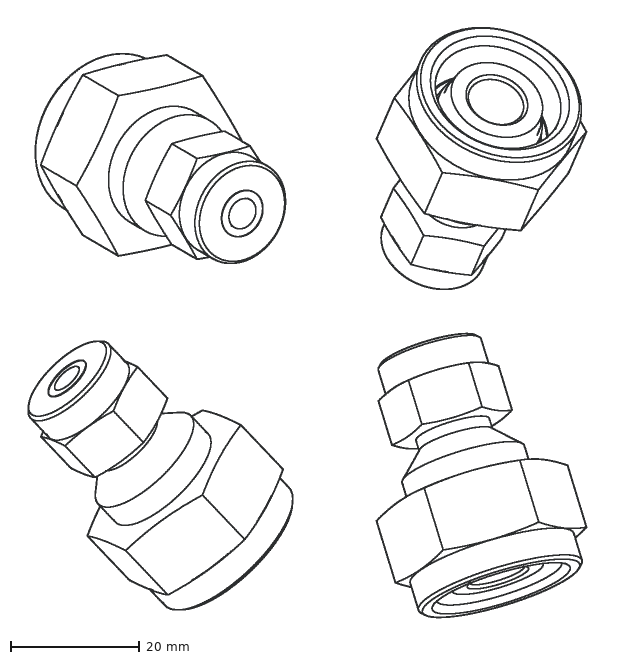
import cadquery as cq
import math

HEX_CHAMFER_ANGLE = 15.0
EDGE_CHAMFER = 0.5

LARGE_FLATS = 27.0
LARGE_COLLAR_RADIUS = 13.38
LARGE_HEX_START = 5.0
LARGE_HEX_END = 16.48
MOUTH_RADIUS = 11.27
THREAD_RADIUS = 10.2

SMALL_FLATS = 17.0
SMALL_COLLAR_RADIUS = 8.4
SMALL_HEX_START = 26.5
SMALL_HEX_END = 34.58
SMALL_NUT_END = 39.6

BODY_END = 39.7
FLANGE_RADIUS = 10.0
TAPER_START = 20.72
NECK_RADIUS = 6.0
SPIGOT_RADIUS = 3.8

SLEEVE_FACE = 1.8
SLEEVE_FACE_RADIUS = 7.42
SLEEVE_RADIUS = 7.98
STEP_FACE = 5.95
STEP_FACE_RADIUS = 8.55
STEP_RADIUS = 9.1
LEAD_IN_ANGLE = 11.5
SLEEVE_FILLET = 0.35
LEAD_IN_SLOPE = math.tan(math.radians(LEAD_IN_ANGLE))
SLEEVE_LEAD_IN_END = SLEEVE_FACE + (SLEEVE_RADIUS - SLEEVE_FACE_RADIUS) / LEAD_IN_SLOPE
FLANGE_FACE = STEP_FACE + (STEP_RADIUS - STEP_FACE_RADIUS) / LEAD_IN_SLOPE

SOCKET_RADIUS = 4.5
SOCKET_END = 15.88
DRILL_POINT_ANGLE = 118.0
THROUGH_RADIUS = 2.5


def revolve_about_x(profile):
    """Turn a closed (x, radius) profile about the X axis."""
    return profile.close().revolve(360, (0, 0, 0), (1, 0, 0))


def turned(points):
    """Solid of revolution about the X axis from (x, radius) points."""
    return revolve_about_x(cq.Workplane("XY").polyline(points))


def hexagon(start, end, flats):
    """Hexagonal prism along X, flats at +Z and -Z, corners bevelled at both ends."""
    corner_radius = flats / math.sqrt(3)
    bevel_depth = (corner_radius - flats / 2) * math.tan(math.radians(HEX_CHAMFER_ANGLE))
    prism = cq.Workplane("YZ", origin=(start, 0, 0)).polygon(6, 2 * corner_radius).extrude(end - start)
    bevel = turned([
        (start, 0),
        (start, flats / 2),
        (start + bevel_depth, corner_radius),
        (end - bevel_depth, corner_radius),
        (end, flats / 2),
        (end, 0),
    ])
    return prism.intersect(bevel)


def make_large_nut():
    collar = turned([
        (0, 0),
        (0, LARGE_COLLAR_RADIUS - EDGE_CHAMFER),
        (EDGE_CHAMFER, LARGE_COLLAR_RADIUS),
        (LARGE_HEX_START, LARGE_COLLAR_RADIUS),
        (LARGE_HEX_START, 0),
    ])
    countersink_depth = MOUTH_RADIUS - THREAD_RADIUS
    bore = turned([
        (0, 0),
        (0, MOUTH_RADIUS),
        (countersink_depth, THREAD_RADIUS),
        (FLANGE_FACE, THREAD_RADIUS),
        (FLANGE_FACE, FLANGE_RADIUS),
        (LARGE_HEX_END, FLANGE_RADIUS),
        (LARGE_HEX_END, 0),
    ])
    return hexagon(LARGE_HEX_START, LARGE_HEX_END, LARGE_FLATS).union(collar).cut(bore)


def make_small_nut():
    collar = turned([
        (SMALL_HEX_END, 0),
        (SMALL_HEX_END, SMALL_COLLAR_RADIUS),
        (SMALL_NUT_END - EDGE_CHAMFER, SMALL_COLLAR_RADIUS),
        (SMALL_NUT_END, SMALL_COLLAR_RADIUS - EDGE_CHAMFER),
        (SMALL_NUT_END, 0),
    ])
    bore = turned([
        (SMALL_HEX_START, 0),
        (SMALL_HEX_START, SPIGOT_RADIUS),
        (SMALL_NUT_END, SPIGOT_RADIUS),
        (SMALL_NUT_END, 0),
    ])
    return hexagon(SMALL_HEX_START, SMALL_HEX_END, SMALL_FLATS).union(collar).cut(bore)


def body_outside():
    """Sleeve, flange, 45 degree taper, neck and spigot as one turned shape."""
    fillet_middle = SLEEVE_FILLET * (1 - math.sqrt(0.5))
    taper_end = TAPER_START + FLANGE_RADIUS - NECK_RADIUS
    profile = (
        cq.Workplane("XY")
        .moveTo(SLEEVE_FACE, 0)
        .lineTo(SLEEVE_FACE, SLEEVE_FACE_RADIUS)
        .lineTo(SLEEVE_LEAD_IN_END, SLEEVE_RADIUS)
        .lineTo(STEP_FACE - SLEEVE_FILLET, SLEEVE_RADIUS)
        .threePointArc(
            (STEP_FACE - fillet_middle, SLEEVE_RADIUS + fillet_middle),
            (STEP_FACE, SLEEVE_RADIUS + SLEEVE_FILLET),
        )
        .lineTo(STEP_FACE, STEP_FACE_RADIUS)
        .lineTo(FLANGE_FACE, STEP_RADIUS)
        .lineTo(FLANGE_FACE, FLANGE_RADIUS)
        .lineTo(TAPER_START, FLANGE_RADIUS)
        .lineTo(taper_end, NECK_RADIUS)
        .lineTo(SMALL_HEX_START, NECK_RADIUS)
        .lineTo(SMALL_HEX_START, SPIGOT_RADIUS)
        .lineTo(BODY_END, SPIGOT_RADIUS)
        .lineTo(BODY_END, 0)
    )
    return revolve_about_x(profile)


def body_bore():
    """Chamfered socket with a drill-point floor, continued by a through hole."""
    point_depth = (SOCKET_RADIUS - THROUGH_RADIUS) / math.tan(math.radians(DRILL_POINT_ANGLE / 2))
    return turned([
        (SLEEVE_FACE, 0),
        (SLEEVE_FACE, SOCKET_RADIUS + EDGE_CHAMFER),
        (SLEEVE_FACE + EDGE_CHAMFER, SOCKET_RADIUS),
        (SOCKET_END, SOCKET_RADIUS),
        (SOCKET_END + point_depth, THROUGH_RADIUS),
        (BODY_END, THROUGH_RADIUS),
        (BODY_END, 0),
    ])


large_nut = make_large_nut()
small_nut = make_small_nut()
body = body_outside().cut(body_bore())

result = cq.Compound.makeCompound([large_nut.val(), small_nut.val(), body.val()])